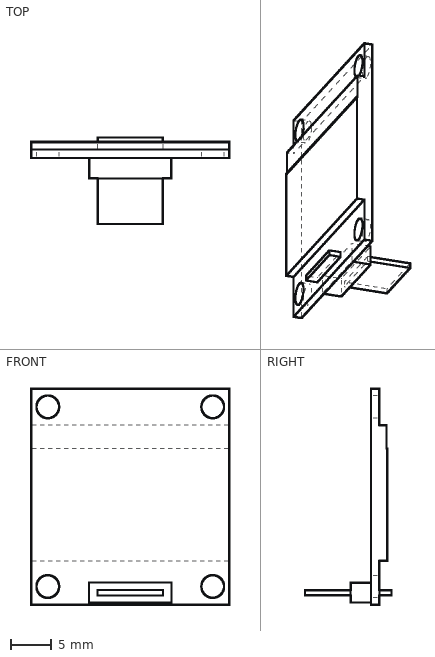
import cadquery as cq

board_width = 24.75
board_height = 27.0
board_thickness = 1.08

hole_diameter = 2.8
hole_spacing_x = 20.6
hole_spacing_z = 22.45

display_bottom = 5.48
display_step = 19.52
display_top = 22.45
panel_depth = 0.97
strip_depth = 0.9

housing_width = 10.3
housing_depth = 2.55
housing_height = 2.48
housing_bottom = 0.27
pin_width = 8.15
pin_height = 0.65
pin_length = 10.83
pin_back_projection = 1.5


def block(width, y_start, depth, z_start, height):
    """Box centred on X that grows toward +Y and +Z from its start position."""
    return cq.Workplane("XY").box(width, depth, height, centered=(True, False, False)).translate(
        (0, y_start, z_start)
    )


def make_board():
    """Plate with four through holes."""
    plate = block(board_width, 0, board_thickness, 0, board_height)
    return (
        plate.faces("<Y")
        .workplane(centerOption="CenterOfBoundBox")
        .rarray(hole_spacing_x, hole_spacing_z, 2, 2)
        .hole(hole_diameter)
    )


def make_display():
    """Stepped display as wide as the board."""
    panel = block(board_width, board_thickness, panel_depth, display_bottom, display_step - display_bottom)
    strip = block(board_width, board_thickness, strip_depth, display_step, display_top - display_step)
    return panel.union(strip)


def make_connector():
    """Housing with the pin row passing through it and the board."""
    housing = block(housing_width, -housing_depth, housing_depth, housing_bottom, housing_height)
    pin_bottom = housing_bottom + (housing_height - pin_height) / 2
    pin_start = board_thickness + pin_back_projection - pin_length
    pins = block(pin_width, pin_start, pin_length, pin_bottom, pin_height)
    return housing.union(pins)


result = make_board().union(make_display()).union(make_connector())